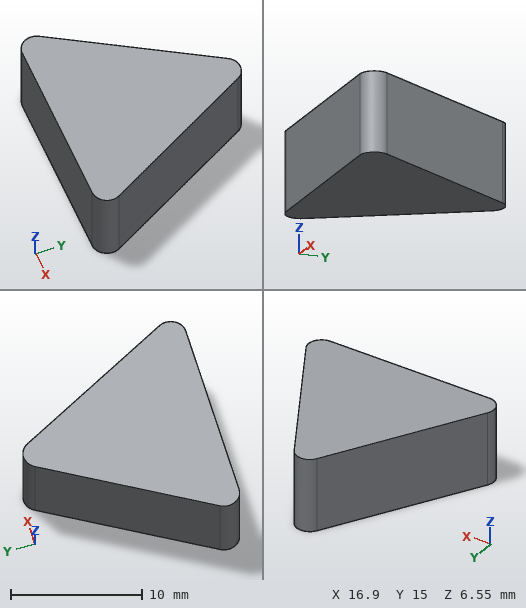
import cadquery as cq
import math

overall_width = 16.95
thickness = 6.55
corner_radius = 1.2

centre_spacing = overall_width - 2 * corner_radius
centre_circle_radius = centre_spacing / math.sqrt(3)

result = (
    cq.Workplane("XY")
    .polyline([
        (
            centre_circle_radius * math.cos(math.radians(angle)),
            centre_circle_radius * math.sin(math.radians(angle)),
        )
        for angle in (90, 210, 330)
    ])
    .close()
    .offset2D(corner_radius, "arc")
    .extrude(thickness)
)